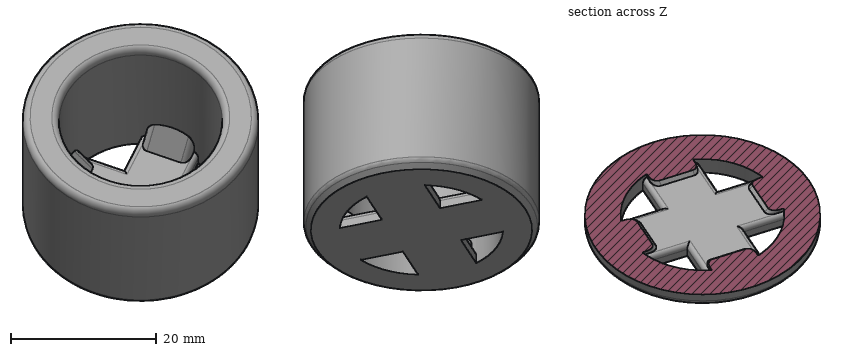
import cadquery as cq

outer_diameter = 32.5
bore_diameter = 22.5
height = 22.0
edge_size = 1.0

cross_width = 8.5
cross_thickness = 2.0
cross_edge_round = 0.7

gusset_width = cross_width - 2 * cross_edge_round
gusset_inner_reach = 8.22
gusset_edge_round = edge_size
gusset_count = 4

wall_middle_radius = (outer_diameter + bore_diameter) / 4


def make_sleeve():
    """Ring with rounded top rims and a softened bevel around its base."""
    body = cq.Workplane("XY").circle(outer_diameter / 2).extrude(height)
    body = body.faces("<Z").chamfer(edge_size)
    body = body.edges("%CIRCLE").edges("<<Z[1]").fillet(edge_size)
    body = body.faces(">Z").workplane().hole(bore_diameter)
    return body.faces(">Z").edges().fillet(edge_size)


def make_cross():
    """Two crossing bars with rounded top edges."""
    bar_length = 2 * wall_middle_radius
    bar_x = cq.Workplane("XY").rect(bar_length, cross_width).extrude(cross_thickness)
    bar_y = cq.Workplane("XY").rect(cross_width, bar_length).extrude(cross_thickness)
    return bar_x.union(bar_y).faces(">Z").edges().fillet(cross_edge_round)


def make_gusset():
    """45 degree wedge on the +X arm with rounded slope edges."""
    base_z = cross_thickness / 2
    foot_x = gusset_inner_reach - (cross_thickness - base_z)
    run = wall_middle_radius - foot_x
    wedge = (
        cq.Workplane("XZ")
        .moveTo(foot_x, base_z)
        .lineTo(wall_middle_radius, base_z)
        .lineTo(wall_middle_radius, base_z + run)
        .close()
        .extrude(gusset_width / 2, both=True)
    )
    return wedge.edges("not(|X or |Y or |Z)").fillet(gusset_edge_round)


result = make_sleeve().union(make_cross())
gusset = make_gusset()
for index in range(gusset_count):
    angle = 360 * index / gusset_count
    result = result.union(gusset.rotate((0, 0, 0), (0, 0, 1), angle))